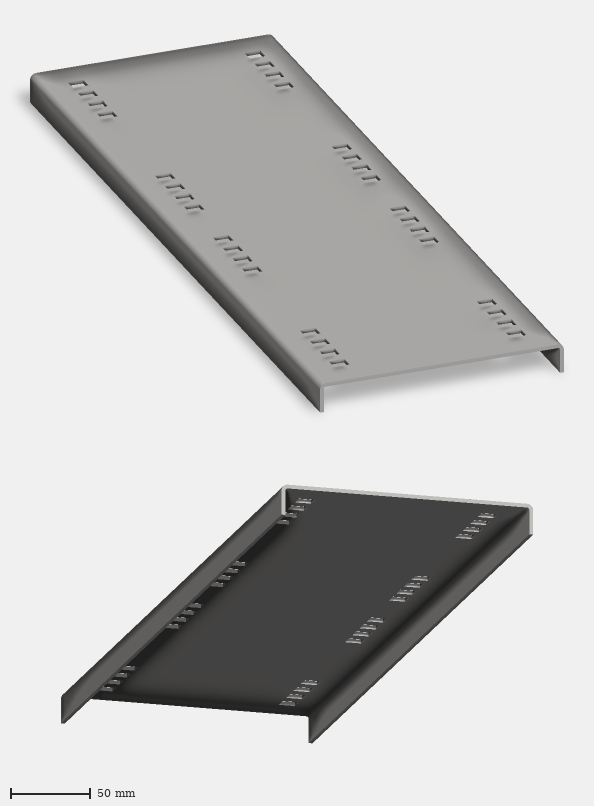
import cadquery as cq

length = 500.0
width = 165.5
height = 20.0
thickness = 2.5
bend_radius = 4.0

hole_length = 9.0
hole_width = 10.5
holes_per_group = 4
end_to_first_hole = 25.0
group_span = 50.0
hole_pitch = group_span / (holes_per_group - 1)
half_pattern_shift = 150.0
row_spacing = 120.0


def folded_sheet():
    """U-shaped channel, open downwards, centred on X and Y with its feet at Z = 0."""
    outer = cq.Workplane("XY").box(length, width, height, centered=(True, True, False))
    outer = outer.faces(">Z").edges("|X").fillet(bend_radius)
    inner = cq.Workplane("XY").box(
        length, width - 2 * thickness, height - thickness, centered=(True, True, False)
    )
    inner = inner.faces(">Z").edges("|X").fillet(bend_radius - thickness)
    return outer.cut(inner)


def hole_centres():
    """Centres of all holes; the second half of the plate repeats the first."""
    points = []
    for half_start in (-length / 2, 0):
        for group_shift in (0, half_pattern_shift):
            for index in range(holes_per_group):
                x = half_start + end_to_first_hole + group_shift + index * hole_pitch
                for side in (-1, 1):
                    points.append((x, side * row_spacing / 2))
    return points


holes = (
    cq.Workplane("XY")
    .pushPoints(hole_centres())
    .rect(hole_length, hole_width)
    .extrude(height)
)

result = folded_sheet().cut(holes)